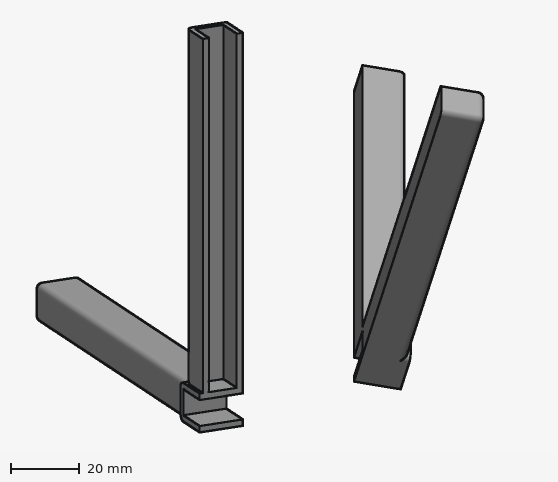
import cadquery as cq

total_length = 113.0
total_height = 121.0
wall = 2.0
edge_radius = 2.0

corner_left = 100.0
corner_lip = 1.0
corner_width = total_length - corner_left
slot_left = corner_left + wall
slot_width = total_length - slot_left

arm_length = slot_left
arm_height = 12.0
arm_depth = 13.0
corner_depth = arm_depth + corner_lip
slot_height = arm_height - 2 * wall

upright_left = slot_left
upright_width = total_length - upright_left
upright_height = total_height - arm_height


def block(left, front, bottom, length, depth, height):
    """Box given by its minimum corner and its sizes along X, Y and Z."""
    box = cq.Workplane("XY").box(length, depth, height, centered=False)
    return box.translate((left, front, bottom))


def make_arm():
    """Solid bar with a rounded front and a rounded free end; the back edges stay sharp."""
    bar = block(0, -arm_depth, 0, arm_length, arm_depth, arm_height)
    return bar.edges("(<Y or (<X and |Y)) and (not >X)").fillet(edge_radius)


def make_corner():
    """Outside of the corner channel, with its two left corners rounded."""
    outer = block(corner_left, -corner_depth, 0, corner_width, corner_depth, arm_height)
    return outer.edges("<X and |Y").fillet(edge_radius)


def make_corner_slot():
    """Space inside the corner channel, open at the front, the back and the right."""
    return block(slot_left, -corner_depth, wall, slot_width, corner_depth, slot_height)


def make_upright():
    """U-shaped column with its front left corner rounded."""
    outer = block(upright_left, -arm_depth, arm_height, upright_width, arm_depth, upright_height)
    outer = outer.edges("<X and <Y").fillet(edge_radius)
    channel_width = upright_width - wall
    channel_depth = arm_depth - 2 * wall
    channel = block(
        upright_left + wall, wall - arm_depth, arm_height, channel_width, channel_depth, upright_height
    )
    return outer.cut(channel)


base = make_arm().union(make_corner()).cut(make_corner_slot())
result = base.union(make_upright())